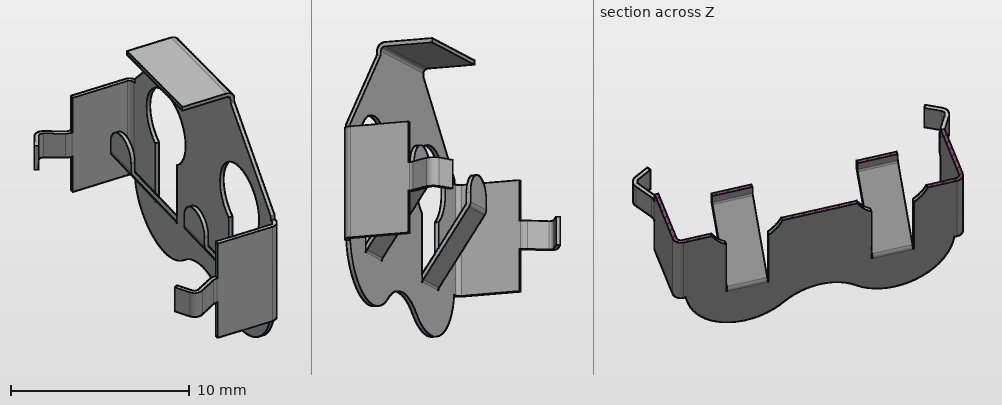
import cadquery as cq
import math

width = 18.46
depth = 6.53
height = 15.27

outer_bend = 0.5
sheet = outer_bend / 2
inner_bend = outer_bend - sheet
middle_bend = inner_bend + sheet / 2

plate_half = 7.88
shoulder_z = 9.64
neck_z = 14.56
corner_radius = sheet / 2
lobe_radius = 3.5
lobe_x = plate_half - lobe_radius
saddle_z = 1.6

flap_half = 3.21
flap_depth = 3.32

wing_half = 8.5
wing_depth = 3.99
wing_bottom = 3.03
wing_height = 6.35

clip_middle_z = 6.24
clip_height = 1.62
clip_lead = 0.07
clip_flare = 30.0
clip_hook = 90.0
flare_bend = 2 * inner_bend + sheet / 2

contact_x = 4.25
hole_radius = 2.25
hole_z = 8.58
slot_width = 2.5
slot_bottom = 2.8
tongue_width = 2.36
tongue_angle = 35.0
tongue_face_y = -3.14
tongue_top = 8.92


def bent_strip(plane, start, heading, steps):
    """Outline of a sheet of constant thickness following a middle line.

    Each step is (length, turn, radius): a straight run, then a bend by turn degrees, positive
    to the left, with that radius on the middle line. A turn of zero is a plain straight end.
    """
    x, y = start
    angle = math.radians(heading)

    def face_point(side):
        return (x - side * math.sin(angle) * sheet / 2, y + side * math.cos(angle) * sheet / 2)

    stretches = []
    for length, turn, radius in steps:
        left = [face_point(1)]
        right = [face_point(-1)]
        x += length * math.cos(angle)
        y += length * math.sin(angle)
        left.append(face_point(1))
        right.append(face_point(-1))
        stretches.append((left, right))
        if turn == 0:
            continue
        reach = math.copysign(radius, turn)
        center_x = x - reach * math.sin(angle)
        center_y = y + reach * math.cos(angle)
        left = left[-1:]
        right = right[-1:]
        for _ in range(2):
            angle += math.radians(turn / 2)
            x = center_x + reach * math.sin(angle)
            y = center_y - reach * math.cos(angle)
            left.append(face_point(1))
            right.append(face_point(-1))
        stretches.append((left, right))

    def follow(outline, points):
        if len(points) == 3:
            return outline.threePointArc(points[1], points[2])
        return outline.lineTo(*points[1])

    first_left = stretches[0][0][0]
    last_right = stretches[-1][1][-1]
    outline = cq.Workplane(plane).moveTo(*first_left)
    for left, _ in stretches:
        outline = follow(outline, left)
    outline = outline.lineTo(*last_right)
    for _, right in reversed(stretches):
        outline = follow(outline, right[::-1])
    return outline.close()


def make_plate():
    rise = lobe_radius - saddle_z
    saddle_radius = (lobe_x**2 + rise**2 - lobe_radius**2) / (2 * (lobe_radius - rise))
    share = lobe_radius / (lobe_radius + saddle_radius)
    joint_x = lobe_x * (1 - share)
    joint_z = lobe_radius - share * (rise + saddle_radius)
    plate = (
        cq.Workplane("XZ")
        .moveTo(-flap_half, height - outer_bend)
        .lineTo(flap_half, height - outer_bend)
        .lineTo(flap_half, neck_z)
        .lineTo(plate_half, shoulder_z)
        .lineTo(plate_half, lobe_radius)
        .threePointArc((lobe_x, 0), (joint_x, joint_z))
        .threePointArc((0, saddle_z), (-joint_x, joint_z))
        .threePointArc((-lobe_x, 0), (-plate_half, lobe_radius))
        .lineTo(-plate_half, shoulder_z)
        .lineTo(-flap_half, neck_z)
        .close()
        .extrude(sheet)
    )
    for x, z in ((flap_half, neck_z), (plate_half, shoulder_z)):
        for side in (-1, 1):
            corner = cq.selectors.NearestToPointSelector((side * x, -sheet / 2, z))
            plate = plate.edges(corner).fillet(corner_radius)
    return plate


def make_keyhole(x):
    hole = cq.Workplane("XZ").center(x, hole_z).circle(hole_radius).extrude(sheet)
    slot = (
        cq.Workplane("XZ")
        .center(x, (slot_bottom + hole_z) / 2)
        .rect(slot_width, hole_z - slot_bottom)
        .extrude(sheet)
    )
    return hole.union(slot)


def make_flap():
    root = neck_z
    steps = [(height - outer_bend - root, 90, middle_bend), (flap_depth - outer_bend, 0, 0)]
    return bent_strip("YZ", (-sheet / 2, root), 90, steps).extrude(flap_half, both=True)


def make_wing():
    root = lobe_x
    steps = [(wing_half - outer_bend - root, -90, middle_bend), (wing_depth - outer_bend, 0, 0)]
    outline = bent_strip("XY", (root, -sheet / 2), 0, steps)
    return outline.extrude(wing_height).translate((0, 0, wing_bottom))


def make_clip():
    flare = math.radians(clip_flare)
    hook = math.radians(clip_hook - clip_flare)
    bends_out = (flare_bend + middle_bend) * (1 - math.cos(flare))
    flare_length = (width / 2 - wing_half - bends_out) / math.sin(flare)
    hook_start = (
        wing_depth + clip_lead + flare_length * math.cos(flare)
        + (flare_bend + middle_bend) * math.sin(flare) + middle_bend * math.sin(hook)
    )
    hook_length = (depth - sheet / 2 * math.sin(hook) - hook_start) / math.cos(hook)
    steps = [
        (sheet + clip_lead, clip_flare, flare_bend),
        (flare_length, -clip_hook, middle_bend),
        (hook_length, 0, 0),
    ]
    outline = bent_strip("XY", (wing_half - sheet / 2, sheet - wing_depth), -90, steps)
    return outline.extrude(clip_height / 2, both=True).translate((0, 0, clip_middle_z))


def make_tongue(x):
    lean = math.radians(tongue_angle)
    shift = -tongue_face_y - sheet
    ramp_length = (shift - 2 * middle_bend * (1 - math.cos(lean))) / math.sin(lean)
    ramp_top = slot_bottom + ramp_length * math.cos(lean) + 2 * middle_bend * math.sin(lean)
    steps = [
        (sheet, tongue_angle, middle_bend),
        (ramp_length, -tongue_angle, middle_bend),
        (tongue_top - ramp_top, 0, 0),
    ]
    strip = bent_strip("YZ", (-sheet / 2, slot_bottom - sheet), 90, steps)
    strip = strip.extrude(tongue_width / 2, both=True)
    tip_radius = tongue_width / 2
    rounded = (
        cq.Workplane("XZ")
        .moveTo(-tip_radius, 0)
        .lineTo(tip_radius, 0)
        .lineTo(tip_radius, tongue_top - tip_radius)
        .threePointArc((0, tongue_top), (-tip_radius, tongue_top - tip_radius))
        .close()
        .extrude(depth)
    )
    return strip.intersect(rounded).translate((x, 0, 0))


result = make_plate().union(make_flap())
for piece in (make_wing(), make_clip()):
    result = result.union(piece).union(piece.mirror("YZ"))
for x in (-contact_x, contact_x):
    result = result.cut(make_keyhole(x)).union(make_tongue(x))